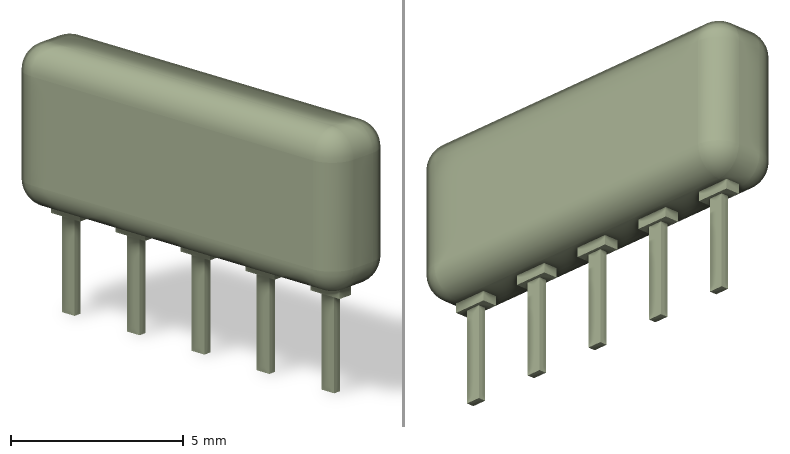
import cadquery as cq

body_length = 12.7
body_depth = 2.5
body_height = 5.0
total_height = 8.3
edge_radius = body_depth / 3

lead_count = 5
lead_pitch = 2.54
lead_width = 0.5
lead_depth = 0.25

shoulder_width = 1.14
shoulder_depth = 0.5
shoulder_height = 0.3
embed_depth = 0.13

lead_length = total_height - body_height


def make_body():
    """Rounded block resting on the plane Z = 0."""
    block = cq.Workplane("XY").box(body_length, body_depth, body_height, centered=(True, True, False))
    return block.edges().fillet(edge_radius)


def make_lead(x):
    """Shouldered lead hanging below the body at the given X."""
    shoulder = (
        cq.Workplane("XY", origin=(x, 0, -shoulder_height))
        .rect(shoulder_width, shoulder_depth)
        .extrude(shoulder_height + embed_depth)
    )
    pin = (
        cq.Workplane("XY", origin=(x, 0, -lead_length))
        .rect(lead_width, lead_depth)
        .extrude(lead_length)
    )
    return shoulder.union(pin)


result = make_body()
for index in range(lead_count):
    lead_x = (index - (lead_count - 1) / 2) * lead_pitch
    result = result.union(make_lead(lead_x))